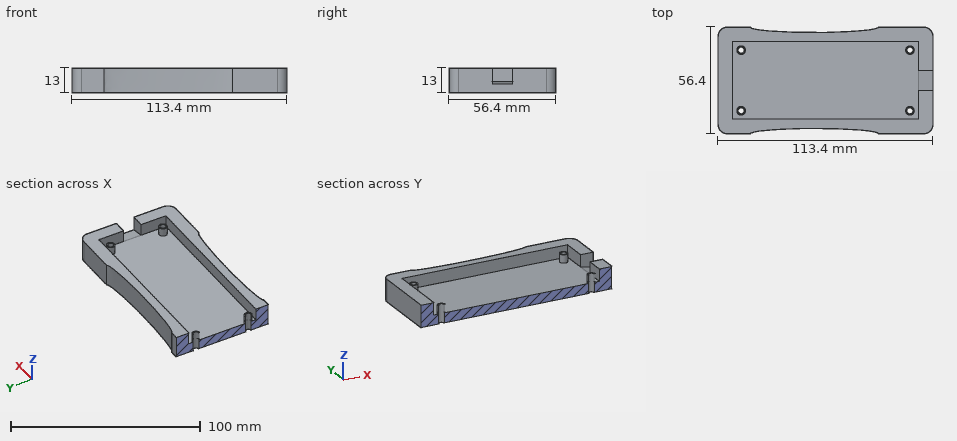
import cadquery as cq

length = 113.4
width = 56.4
height = 13.0
corner_radius = 5.0

grip_start = -39.7
grip_end = 27.9
grip_depth = 2.8

pocket_length = 98.2
pocket_width = 40.8
pocket_depth = 7.0

notch_width = 10.7
notch_outer_depth = 8.4

post_spacing_x = 89.0
post_spacing_y = 32.0
post_diameter = 4.5
post_height = 4.8
screw_hole_diameter = 3.2

floor_z = height - pocket_depth


def make_body():
    """Rounded block with a shallow half ellipse scooped from each long side."""
    body = cq.Workplane("XY").box(length, width, height, centered=(True, True, False))
    body = body.edges("|Z").edges("<X or >X").fillet(corner_radius)
    grip_middle = (grip_start + grip_end) / 2
    grip_half_length = (grip_end - grip_start) / 2
    for side in (-1, 1):
        grip = (
            cq.Workplane("XY")
            .center(grip_middle, side * width / 2)
            .ellipse(grip_half_length, grip_depth)
            .extrude(height)
        )
        body = body.cut(grip)
    return body


def make_pocket():
    return (
        cq.Workplane("XY", origin=(0, 0, floor_z))
        .rect(pocket_length, pocket_width)
        .extrude(pocket_depth)
    )


def make_notch():
    """Wedge-bottomed slot running from the pocket to the outside."""
    return (
        cq.Workplane("XZ")
        .moveTo(pocket_length / 2, height)
        .lineTo(pocket_length / 2, floor_z)
        .lineTo(length / 2, height - notch_outer_depth)
        .lineTo(length / 2, height)
        .close()
        .extrude(notch_width / 2, both=True)
    )


def make_post_cylinders(diameter, bottom_z, cylinder_height):
    """One upright cylinder at each of the four post positions."""
    return (
        cq.Workplane("XY", origin=(0, 0, bottom_z))
        .rect(post_spacing_x, post_spacing_y, forConstruction=True)
        .vertices()
        .circle(diameter / 2)
        .extrude(cylinder_height)
    )


result = make_body().cut(make_pocket()).cut(make_notch())
result = result.union(make_post_cylinders(post_diameter, 0, floor_z + post_height))
result = result.cut(make_post_cylinders(screw_hole_diameter, 0, height))